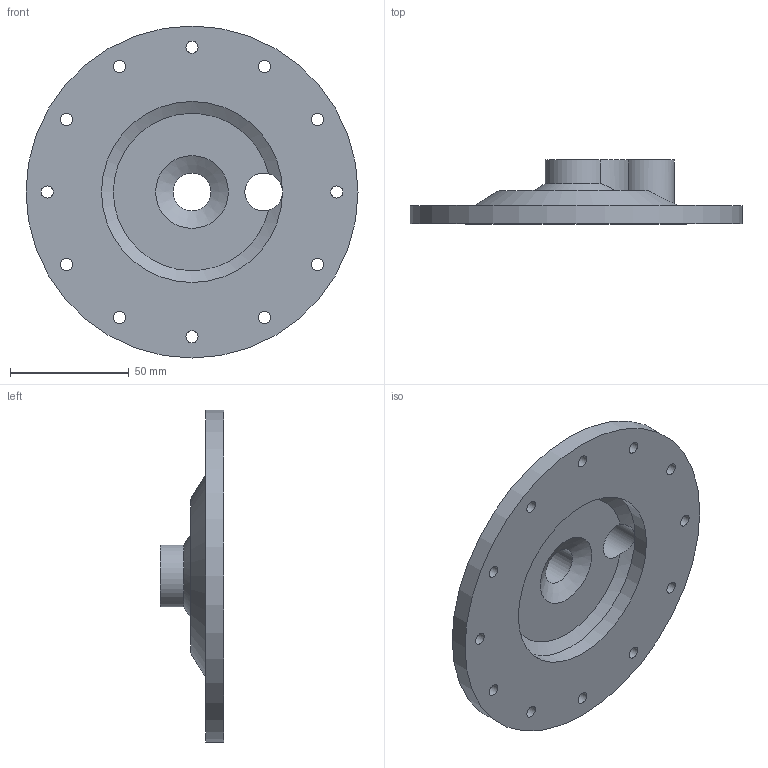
import cadquery as cq
import math

FLANGE_DIAMETER = 139.7
FLANGE_THICKNESS = 7.62
TOTAL_HEIGHT = 26.85

BOLT_COUNT = 12
BOLT_CIRCLE_RADIUS = 60.96
BOLT_HOLE_DIAMETER = 5.08

DOME_BASE_RADIUS = 42.7
DOME_TOP_RADIUS = 32.4
DOME_HEIGHT = 6.35

COLLAR_BASE_RADIUS = 17.6
COLLAR_HEIGHT = 2.95

BORE_DIAMETER = 15.875
MAIN_BOSS_RADIUS = 13.05
SIDE_WALL = 3.175

SCOOP_RADIUS = 12.7
SCOOP_X = 16.7
SCOOP_Z = 19.1
WEB_WIDTH = 18.0

RECESS_RADIUS = 38.1
RECESS_FLOOR_RADIUS = 33.1
RECESS_WALL_DEPTH = 6.8
CONE_ANGLE = 30.0

MOUTH_RADIUS = 15.3

BORE_RADIUS = BORE_DIAMETER / 2
SIDE_BOSS_RADIUS = BORE_RADIUS + SIDE_WALL
SIDE_OFFSET = RECESS_RADIUS - BORE_RADIUS
CONE_SLOPE = math.tan(math.radians(CONE_ANGLE))
RECESS_DEPTH = RECESS_WALL_DEPTH + (RECESS_RADIUS - RECESS_FLOOR_RADIUS) * CONE_SLOPE
MOUTH_BOTTOM = RECESS_DEPTH + (MOUTH_RADIUS - BORE_RADIUS) * CONE_SLOPE
DOME_TOP = FLANGE_THICKNESS + DOME_HEIGHT
COLLAR_TOP = DOME_TOP + COLLAR_HEIGHT


def revolve_about_y(profile):
    """Revolve a closed (radius, y) profile about the Y axis."""
    return cq.Workplane("XY").polyline(profile).close().revolve(360, (0, 0), (0, 1))


def section_plane(y):
    """Plane across the Y axis at y, with local X along +X and normal along +Y."""
    return cq.Workplane(cq.Plane(origin=(0, y, 0), xDir=(1, 0, 0), normal=(0, 1, 0)))


def turned_body():
    """Flange, dome, collar and main boss as one turned shape."""
    flange_radius = FLANGE_DIAMETER / 2
    return revolve_about_y([
        (0, 0),
        (flange_radius, 0),
        (flange_radius, FLANGE_THICKNESS),
        (DOME_BASE_RADIUS, FLANGE_THICKNESS),
        (DOME_TOP_RADIUS, DOME_TOP),
        (COLLAR_BASE_RADIUS, DOME_TOP),
        (MAIN_BOSS_RADIUS, COLLAR_TOP),
        (MAIN_BOSS_RADIUS, TOTAL_HEIGHT),
        (0, TOTAL_HEIGHT),
    ])


def cylinder(x, z, radius):
    """Cylinder along Y at (x, z), from the flange's back face to the boss tops."""
    return (
        section_plane(FLANGE_THICKNESS)
        .center(x, -z)
        .circle(radius)
        .extrude(TOTAL_HEIGHT - FLANGE_THICKNESS)
    )


def side_boss():
    """Side boss and the web, with scooped flanks, that joins it to the main boss."""
    web = (
        section_plane(FLANGE_THICKNESS)
        .center(SIDE_OFFSET / 2, 0)
        .rect(SIDE_OFFSET, WEB_WIDTH)
        .extrude(TOTAL_HEIGHT - FLANGE_THICKNESS)
    )
    for side in (-1, 1):
        web = web.cut(cylinder(SCOOP_X, side * SCOOP_Z, SCOOP_RADIUS))
    return web.union(cylinder(SIDE_OFFSET, 0, SIDE_BOSS_RADIUS))


def recess():
    """Front recess together with the conical mouth of the main bore."""
    return revolve_about_y([
        (0, 0),
        (RECESS_RADIUS, 0),
        (RECESS_RADIUS, RECESS_WALL_DEPTH),
        (RECESS_FLOOR_RADIUS, RECESS_DEPTH),
        (MOUTH_RADIUS, RECESS_DEPTH),
        (BORE_RADIUS, MOUTH_BOTTOM),
        (0, MOUTH_BOTTOM),
    ])


def bores():
    """Through bores of the two bosses."""
    return (
        section_plane(0)
        .pushPoints([(0, 0), (SIDE_OFFSET, 0)])
        .circle(BORE_RADIUS)
        .extrude(TOTAL_HEIGHT)
    )


def bolt_holes():
    """Ring of through holes near the flange rim."""
    return (
        section_plane(0)
        .polarArray(BOLT_CIRCLE_RADIUS, 0, 360, BOLT_COUNT)
        .circle(BOLT_HOLE_DIAMETER / 2)
        .extrude(FLANGE_THICKNESS)
    )


body = turned_body().union(side_boss())
result = body.cut(recess()).cut(bores()).cut(bolt_holes())